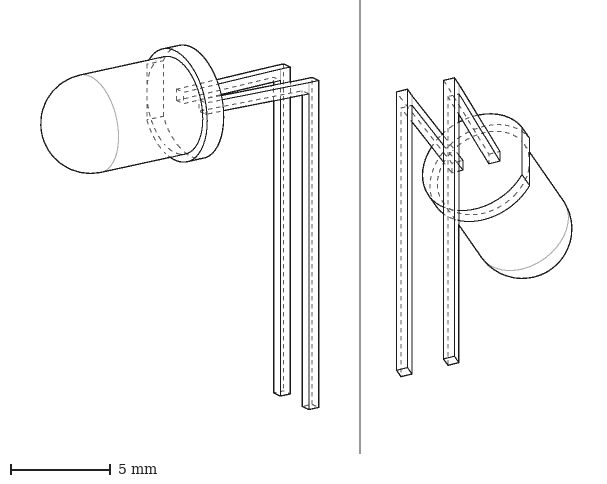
import cadquery as cq
import math

body_radius = 2.5
body_length = 5.1
flange_radius = 2.9
flange_thickness = 1.0
flat_offset = body_radius

lead_size = 0.6
lead_reach = 6.65
lead_drop = 17.0
root_pitch = 2.0
tip_pitch = 2.54

half_lead = lead_size / 2


def make_body():
    """Cylinder with a hemispherical dome, revolved about the Y axis."""
    dome_start = -(flange_thickness + body_length)
    dome_mid = body_radius * math.sin(math.pi / 4)
    return (
        cq.Workplane("XY")
        .lineTo(body_radius, 0)
        .lineTo(body_radius, dome_start)
        .threePointArc((dome_mid, dome_start - dome_mid), (0, dome_start - body_radius))
        .close()
        .revolve(360, (0, 0, 0), (0, 1, 0))
    )


def make_flange():
    """Disc with a flat on its -X side that marks the cathode."""
    disc = cq.Workplane("XZ").circle(flange_radius).extrude(flange_thickness)
    keep_width = flat_offset + flange_radius
    keep = (
        cq.Workplane("XZ")
        .center(keep_width / 2 - flat_offset, 0)
        .rect(keep_width, 2 * flange_radius)
        .extrude(flange_thickness)
    )
    return disc.intersect(keep)


def make_lead(side):
    """One square lead: splayed run out of the flange, then a square corner and a straight drop."""
    root_x = side * root_pitch / 2
    tip_x = side * tip_pitch / 2
    bend_y = lead_reach - lead_size
    run = (
        cq.Workplane("XY")
        .workplane(offset=-half_lead)
        .polyline([
            (root_x - half_lead, 0),
            (root_x + half_lead, 0),
            (tip_x + half_lead, bend_y),
            (tip_x - half_lead, bend_y),
        ])
        .close()
        .extrude(lead_size)
    )
    drop = (
        cq.Workplane("XY")
        .workplane(offset=-lead_drop)
        .center(tip_x, bend_y + half_lead)
        .rect(lead_size, lead_size)
        .extrude(lead_drop + half_lead)
    )
    return run.union(drop)


result = make_body().union(make_flange())
for side in (-1, 1):
    result = result.union(make_lead(side))